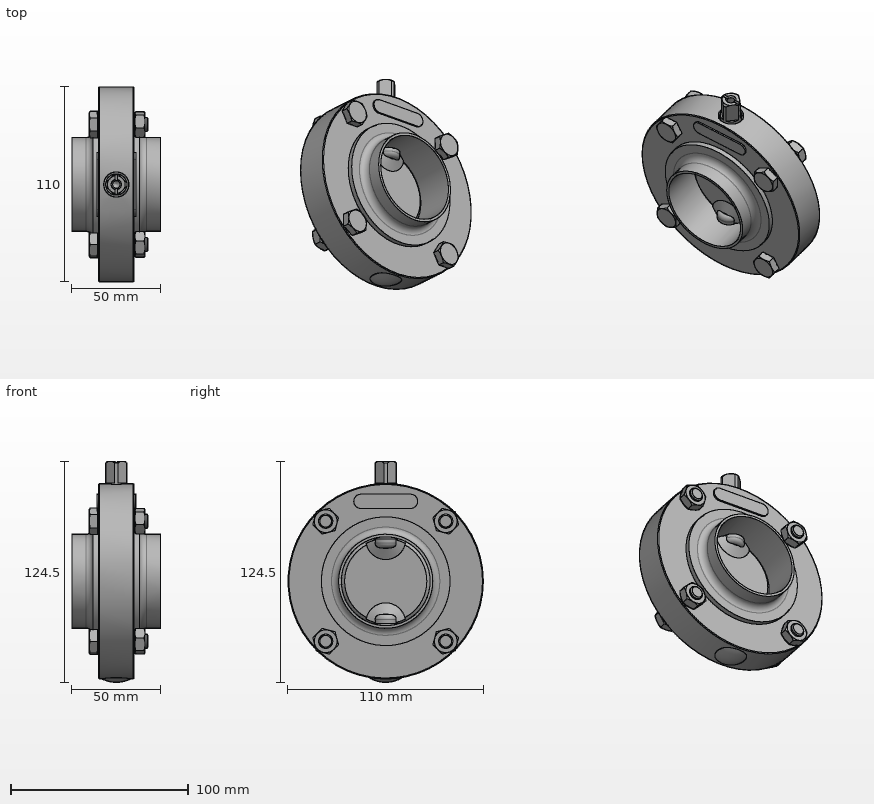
import cadquery as cq
import math


flange_radius = 55.0
flange_half_width = 10.0
flange_chamfer = 0.5
step_radius = 36.25
step_height = 3.0

bore_radius = 25.0
pipe_radius = 26.5
pipe_end = 25.0
pipe_fillet = 4.0

plate_length = 36.0
plate_width = 8.0
plate_height = 1.0
plate_center_z = 45.0

cap_bottom_z = -57.0
cap_sphere_radius = 17.5
cap_radius = 9.0

bolt_offset = 33.8
bolt_diameter = 8.0
bolt_tip_x = 17.9
bolt_tip_chamfer = 0.7
hex_width = 13.0
hex_corner_diameter = hex_width / math.cos(math.radians(30))
hex_chamfer_radius = 6.4
hex_chamfer_angle = 30.0
washer_face_diameter = 11.4
head_washer_height = 0.6
nut_washer_height = 0.4
head_height = 5.3
nut_height = 6.2
nut_turn = 45.0

disc_half_thickness = 2.5
disc_face_radius = 23.15
disc_rim_half_thickness = 1.0
hub_radius = 6.6
hub_length = 17.2
hub_start_z = 18.7
hub_end_z = 23.7
hub_fillet = 2.8
flare_center_z = 23.4
flare_base_radius = 11.2
flare_top_radius = 5.0
flare_height = 3.0
flare_trim_radius = 24.0

stem_radius = 6.0
stem_top_z = 67.5
stem_chamfer = 1.0
square_width = 9.7
collar_radius = 7.0
collar_bore_radius = 7.1
collar_bottom_z = 45.0
collar_top_z = 52.0
square_bottom_z = 55.4
lower_stem_end_z = -45.0
stem_hole_diameter = 4.13
stem_hole_mouth_diameter = 5.8
stem_hole_depth = 10.0
drill_point_angle = 118.0
groove_radius = 0.7


def cylinder_x(radius, start_x, end_x):
    return cq.Workplane("YZ").workplane(offset=start_x).circle(radius).extrude(end_x - start_x)


def cylinder_z(radius, start_z, end_z):
    return cq.Workplane("XY").workplane(offset=start_z).circle(radius).extrude(end_z - start_z)


def make_pipe_end():
    """Step, concave fillet and pipe on the +X side, without the bore."""
    step_x = flange_half_width + step_height
    fillet_end_x = step_x + pipe_fillet
    arc_shift = pipe_fillet * (1 - math.sqrt(0.5))
    profile = (
        cq.Workplane("XY")
        .moveTo(0, 0)
        .lineTo(0, step_radius)
        .lineTo(step_x, step_radius)
        .lineTo(step_x, pipe_radius + pipe_fillet)
        .threePointArc((step_x + arc_shift, pipe_radius + arc_shift), (fillet_end_x, pipe_radius))
        .lineTo(pipe_end, pipe_radius)
        .lineTo(pipe_end, 0)
        .close()
    )
    return profile.revolve(360, (0, 0, 0), (1, 0, 0))


def make_label_plates():
    """One slot-shaped plate that stands out from both flange faces."""
    half_length = flange_half_width + plate_height
    return (
        cq.Workplane("YZ")
        .center(0, plate_center_z)
        .slot2D(plate_length, plate_width)
        .extrude(half_length, both=True)
    )


def make_bearing_cap():
    sphere = cq.Workplane("XY").sphere(cap_sphere_radius)
    sphere = sphere.translate((0, 0, cap_bottom_z + cap_sphere_radius))
    return sphere.intersect(cylinder_z(cap_radius, cap_bottom_z, -flange_radius + cap_radius))


def hex_block(start_x, end_x):
    """Hexagon along X with a corner on the Y axis and its end at end_x chamfered."""
    height = abs(end_x - start_x)
    corner_radius = hex_corner_diameter / 2
    chamfer_drop = (corner_radius - hex_chamfer_radius) * math.tan(math.radians(hex_chamfer_angle))
    prism = cq.Workplane("YZ").polygon(6, hex_corner_diameter).extrude(height)
    envelope = (
        cq.Workplane("XY")
        .moveTo(0, 0)
        .lineTo(0, corner_radius)
        .lineTo(height - chamfer_drop, corner_radius)
        .lineTo(height, hex_chamfer_radius)
        .lineTo(height, 0)
        .close()
        .revolve(360, (0, 0, 0), (1, 0, 0))
    )
    block = prism.intersect(envelope)
    if end_x < start_x:
        block = block.mirror("YZ")
    return block.translate((start_x, 0, 0))


def make_bolt():
    """Bolt with head and nut on the X axis."""
    head_x = -flange_half_width - head_washer_height
    nut_x = flange_half_width + nut_washer_height
    nut_end = flange_half_width + nut_height
    shank = cylinder_x(bolt_diameter / 2, head_x, bolt_tip_x).faces(">X").chamfer(bolt_tip_chamfer)
    washer_faces = cylinder_x(washer_face_diameter / 2, head_x, nut_x)
    head = hex_block(head_x, -flange_half_width - head_height)
    middle = (nut_x + nut_end) / 2
    nut = hex_block(middle, nut_end).union(hex_block(middle, nut_x))
    nut = nut.rotate((0, 0, 0), (1, 0, 0), nut_turn)
    return shank.union(washer_faces).union(head).union(nut)


def make_housing():
    flange = cylinder_x(flange_radius, -flange_half_width, flange_half_width)
    flange = flange.faces("<X or >X").chamfer(flange_chamfer)
    pipe = make_pipe_end()
    body = flange.union(pipe).union(pipe.mirror("YZ"))
    body = body.union(make_label_plates()).union(make_bearing_cap())
    bolt = make_bolt().translate((0, bolt_offset, bolt_offset))
    for quarter in range(4):
        body = body.union(bolt.rotate((0, 0, 0), (1, 0, 0), 90 * quarter))
    body = body.cut(cylinder_x(bore_radius, -pipe_end, pipe_end))
    body = body.cut(cylinder_z(stem_radius, lower_stem_end_z, flange_radius))
    return body.cut(cylinder_z(collar_bore_radius, collar_bottom_z, stem_top_z))


def make_disc_plate():
    """Round plate whose edge is bevelled on both sides."""
    profile = (
        cq.Workplane("XY")
        .moveTo(-disc_half_thickness, 0)
        .lineTo(-disc_half_thickness, disc_face_radius)
        .lineTo(-disc_rim_half_thickness, bore_radius)
        .lineTo(disc_rim_half_thickness, bore_radius)
        .lineTo(disc_half_thickness, disc_face_radius)
        .lineTo(disc_half_thickness, 0)
        .close()
    )
    return profile.revolve(360, (0, 0, 0), (1, 0, 0))


def make_hub():
    """Upper hub: a rounded slot-shaped block, with a cone rising to it from each disc face."""
    hub = (
        cq.Workplane("XY")
        .workplane(offset=hub_start_z)
        .slot2D(hub_length, 2 * hub_radius)
        .extrude(hub_end_z - hub_start_z)
        .faces("<Z")
        .edges()
        .fillet(hub_fillet)
    )
    cone = cq.Workplane(
        cq.Solid.makeCone(
            flare_base_radius,
            flare_top_radius,
            flare_height,
            pnt=cq.Vector(disc_half_thickness, 0, flare_center_z),
            dir=cq.Vector(1, 0, 0),
        )
    )
    base = cq.Workplane("YZ").center(0, flare_center_z).circle(flare_base_radius)
    flares = base.extrude(disc_half_thickness, both=True).union(cone).union(cone.mirror("YZ"))
    trim = cylinder_x(flare_trim_radius, -hub_length / 2, hub_length / 2)
    return hub.union(flares.intersect(trim))


def make_stem_end():
    """Square end of the stem, its corners rounded by the stem cylinder."""
    end = cylinder_z(stem_radius, square_bottom_z, stem_top_z).faces(">Z").chamfer(stem_chamfer)
    square = cq.Workplane("XY").rect(square_width, square_width).extrude(stem_top_z)
    return end.intersect(square.rotate((0, 0, 0), (0, 0, 1), 45))


def make_stem_hole():
    """Drilled hole with a chamfered mouth and a conical bottom."""
    hole_radius = stem_hole_diameter / 2
    mouth_radius = stem_hole_mouth_diameter / 2
    mouth_depth = mouth_radius - hole_radius
    point_depth = hole_radius / math.tan(math.radians(drill_point_angle / 2))
    hole_bottom_z = stem_top_z - stem_hole_depth
    profile = (
        cq.Workplane("XZ")
        .moveTo(0, stem_top_z)
        .lineTo(mouth_radius, stem_top_z)
        .lineTo(hole_radius, stem_top_z - mouth_depth)
        .lineTo(hole_radius, hole_bottom_z)
        .lineTo(0, hole_bottom_z - point_depth)
        .close()
    )
    return profile.revolve(360, (0, 0, 0), (0, 1, 0))


def make_disc_and_stem():
    hub = make_hub()
    disc = make_disc_plate().union(hub).union(hub.mirror("XY"))
    disc = disc.union(cylinder_z(stem_radius, lower_stem_end_z, -hub_start_z - hub_fillet))
    disc = disc.union(cylinder_z(stem_radius, hub_start_z + hub_fillet, square_bottom_z))
    disc = disc.union(cylinder_z(collar_radius, collar_bottom_z, collar_top_z))
    disc = disc.union(make_stem_end()).cut(make_stem_hole())
    groove = cq.Workplane("XZ").center(0, stem_top_z).circle(groove_radius)
    return disc.cut(groove.extrude(stem_radius, both=True))


housing = make_housing()
disc_and_stem = make_disc_and_stem()

result = cq.Compound.makeCompound([housing.val(), disc_and_stem.val()])